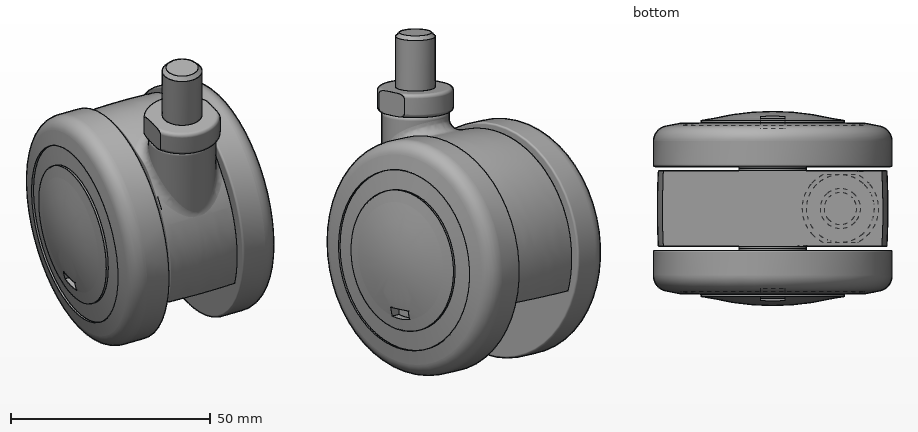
import cadquery as cq
import math


wheel_diameter = 60.0
wheel_radius = wheel_diameter / 2
overall_height = 82.5
stem_top_z = overall_height - wheel_radius
pivot_offset = 17.0

hub_half_width = 9.5
hub_mid_radius = 28.95
hub_end_radius = 28.7
hub_cut_z = -8.5
hub_edge_round = 0.25

neck_radius = 8.5
neck_fillet = 2.9
boss_radius = neck_radius

collar_bottom_z = 32.5
collar_height = 6.0
collar_radius = 9.6
collar_flat_distance = neck_radius
stem_radius = 5.0
edge_size = 1.0

wheel_inner_y = 10.5
wheel_inner_round = 0.5
tread_end_y = 16.8
shoulder_radius = 4.0
face_slope = 11.0
recess_radius = 23.0
recess_depth = 0.6
recess_rise = 0.7
cap_radius = 18.0
cap_rim_y = 22.1
dome_radius = 14.9
dome_rim_y = 22.6
dome_top_y = 24.38
boss_end_y = (hub_half_width + wheel_inner_y) / 2

notch_width = 6.1
notch_height = 2.6
notch_depth = 2.5


def make_housing():
    """Crowned hub with axle bosses and a filleted neck for the stem."""
    wide = 1.5 * hub_half_width
    crown_drop = hub_mid_radius - hub_end_radius
    crown_radius = (hub_half_width ** 2 + crown_drop ** 2) / (2 * crown_drop)
    wide_radius = hub_mid_radius - crown_radius + math.sqrt(crown_radius ** 2 - wide ** 2)
    drum = (
        cq.Workplane("XY")
        .moveTo(0, -wide)
        .lineTo(wide_radius, -wide)
        .threePointArc((hub_mid_radius, 0), (wide_radius, wide))
        .lineTo(0, wide)
        .close()
        .revolve(360, (0, 0, 0), (0, 1, 0))
    )
    neck = cq.Workplane("XY").center(pivot_offset, 0).circle(neck_radius).extrude(collar_bottom_z)
    body = drum.union(neck)
    joint_box = cq.selectors.BoxSelector(
        (pivot_offset - 1.1 * neck_radius, -1.1 * neck_radius, hub_cut_z),
        (pivot_offset + 1.1 * neck_radius, 1.1 * neck_radius, collar_bottom_z - 0.1),
        boundingbox=True,
    )
    body = body.edges(joint_box).fillet(neck_fillet)
    body = body.faces(">Z").edges().fillet(edge_size)

    trim = (
        cq.Workplane("XY", origin=(0, 0, hub_cut_z))
        .rect(3 * hub_mid_radius, 2 * hub_half_width)
        .extrude(collar_bottom_z - hub_cut_z)
    )
    body = body.intersect(trim)
    body = body.faces("<Y or >Y").edges("not |X").fillet(hub_edge_round)

    bosses = (
        cq.Workplane("XZ", origin=(0, boss_end_y, 0))
        .circle(boss_radius)
        .extrude(2 * boss_end_y)
    )
    return body.union(bosses)


def make_stem():
    """Round stem with a collar that has two wrench flats."""
    collar = (
        cq.Workplane("XY", origin=(pivot_offset, 0, collar_bottom_z))
        .circle(collar_radius)
        .extrude(collar_height)
        .edges()
        .fillet(edge_size)
    )
    flats = (
        cq.Workplane("XY", origin=(pivot_offset, 0, collar_bottom_z))
        .rect(2 * collar_radius, 2 * collar_flat_distance)
        .extrude(collar_height)
    )
    rod = (
        cq.Workplane("XY", origin=(pivot_offset, 0, collar_bottom_z))
        .circle(stem_radius)
        .extrude(stem_top_z - collar_bottom_z)
        .faces(">Z")
        .chamfer(edge_size)
    )
    return collar.intersect(flats).union(rod)


def make_wheel(side):
    """Wheel on the +Y (side = 1) or -Y (side = -1) end of the axle."""
    slope = math.radians(face_slope)
    arc_center_r = wheel_radius - shoulder_radius

    def shoulder_point(angle):
        return (
            arc_center_r + shoulder_radius * math.cos(angle),
            tread_end_y + shoulder_radius * math.sin(angle),
        )

    arc_end_angle = math.pi / 2 - slope
    arc_end = shoulder_point(arc_end_angle)
    face_edge_y = arc_end[1] + (arc_end[0] - recess_radius) * math.tan(slope)
    recess_outer_y = face_edge_y - recess_depth
    recess_inner_y = recess_outer_y + recess_rise

    dome_rise = dome_top_y - dome_rim_y
    sphere_radius = (dome_radius ** 2 + dome_rise ** 2) / (2 * dome_rise)
    dome_mid_r = dome_radius / 2
    dome_mid_y = dome_top_y - sphere_radius + math.sqrt(sphere_radius ** 2 - dome_mid_r ** 2)

    wheel = (
        cq.Workplane("XY")
        .moveTo(0, boss_end_y)
        .lineTo(boss_radius, boss_end_y)
        .lineTo(boss_radius, wheel_inner_y)
        .lineTo(wheel_radius - wheel_inner_round, wheel_inner_y)
        .radiusArc((wheel_radius, wheel_inner_y + wheel_inner_round), -wheel_inner_round)
        .lineTo(wheel_radius, tread_end_y)
        .threePointArc(shoulder_point(arc_end_angle / 2), arc_end)
        .lineTo(recess_radius, face_edge_y)
        .lineTo(recess_radius, recess_outer_y)
        .lineTo(cap_radius, recess_inner_y)
        .lineTo(cap_radius, cap_rim_y)
        .lineTo(dome_radius, dome_rim_y)
        .threePointArc((dome_mid_r, dome_mid_y), (0, dome_top_y))
        .close()
        .revolve(360, (0, 0, 0), (0, 1, 0))
    )

    notch_bar = cq.Workplane("XY").box(notch_width, notch_depth + dome_rise, 2 * notch_height)
    notch_bar = notch_bar.translate((0, dome_rim_y + (dome_rise - notch_depth) / 2, -dome_radius))
    rim_disc = (
        cq.Workplane("XZ", origin=(0, dome_top_y, 0))
        .circle(dome_radius)
        .extrude(2 * notch_depth + dome_rise)
    )
    wheel = wheel.cut(notch_bar.intersect(rim_disc))
    return wheel if side > 0 else wheel.mirror("XZ")


housing = make_housing()
stem = make_stem()
wheels = [make_wheel(side) for side in (1, -1)]

result = cq.Compound.makeCompound([housing.val(), stem.val(), *[wheel.val() for wheel in wheels]])